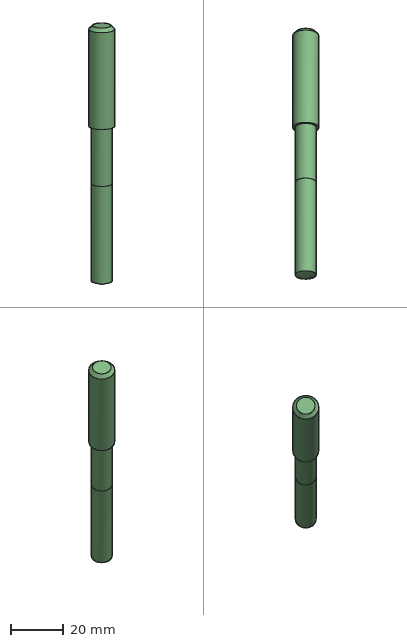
import cadquery as cq
import math

TOTAL_LENGTH = 103.0

GRIP_DIAMETER = 10.0
GRIP_LENGTH = 40.0
GRIP_CHAMFER = 1.4
NECK_DIAMETER = 8.0
SHANK_LENGTH = 62.8

TIP_DIAMETER = NECK_DIAMETER
POINT_ANGLE = 140.0

tip_radius = TIP_DIAMETER / 2
point_height = tip_radius / math.tan(math.radians(POINT_ANGLE / 2))
joint_z = TOTAL_LENGTH - SHANK_LENGTH
shoulder_z = TOTAL_LENGTH - GRIP_LENGTH


def make_shank():
    """Chamfered grip and neck, ending in a flat face at the joint."""
    grip = (
        cq.Workplane("XY", origin=(0, 0, shoulder_z))
        .circle(GRIP_DIAMETER / 2)
        .extrude(GRIP_LENGTH)
        .faces(">Z")
        .chamfer(GRIP_CHAMFER)
    )
    neck = (
        cq.Workplane("XY", origin=(0, 0, joint_z))
        .circle(NECK_DIAMETER / 2)
        .extrude(shoulder_z - joint_z)
    )
    return grip.union(neck)


def make_cutting_end():
    """Cylinder below the joint with its cone apex at Z = 0."""
    return (
        cq.Workplane("XZ")
        .moveTo(0, 0)
        .lineTo(tip_radius, point_height)
        .lineTo(tip_radius, joint_z)
        .lineTo(0, joint_z)
        .close()
        .revolve(360, (0, 0, 0), (0, 1, 0))
    )


shank = make_shank()
cutting_end = make_cutting_end()

result = cq.Compound.makeCompound([shank.val(), cutting_end.val()])